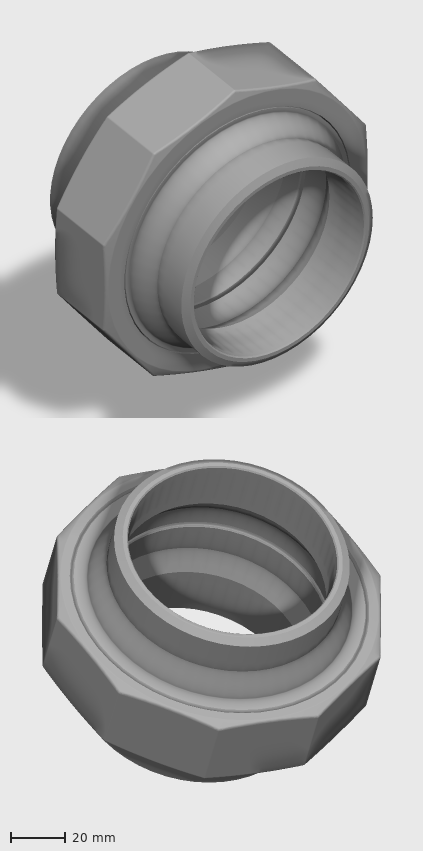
import cadquery as cq
import math


HALF_LENGTH = 42.0
PIPE_R = 88.9 / 2
BORE_R = 78.9 / 2
BEVEL_ANGLE = math.radians(30)
LAND_OUTER_R = 83.0 / 2
BORE_CHAMFER = 0.5

FLARE_ANGLE = math.radians(30)
CAVITY_R = 88.5 / 2
CAVITY_FLARE_X = 20.3
FLARE_END_R = 50.0
FLARE_ROOT_FILLET = 0.5

THREADED_FACE_X = -3.0
COLLAR_FACE_X = -1.0
CAVITY_CHAMFER = 0.5

THREAD_MAJOR_R = 113.03 / 2
THREAD_MINOR_R = 110.07 / 2
THREAD_R = (THREAD_MAJOR_R + THREAD_MINOR_R) / 2

NECK_R = 104.0 / 2
COLLAR_R = 109.0 / 2
LIP_BORE_R = 105.0 / 2
LIP_X = 8.0

NUT_SIDES = 10
NUT_FLATS = 122.0
NUT_HALF_WIDTH = 16.0
NUT_EDGE_FILLET = 1.0
NUT_FACE_R = 60.0
NUT_CHAMFER_ANGLE = math.radians(20)
NUT_RIM_FILLET = 1.0
NUT_CHAMFER_MARGIN = 5.0

SHOULDER_X = NUT_HALF_WIDTH
PIPE_END_X = HALF_LENGTH - (PIPE_R - LAND_OUTER_R) * math.tan(BEVEL_ANGLE)
FLARE_START_X = SHOULDER_X + (FLARE_END_R - PIPE_R) / math.tan(FLARE_ANGLE)
CAVITY_X = CAVITY_FLARE_X - (CAVITY_R - BORE_R) / math.tan(FLARE_ANGLE)
NUT_CORNER_R = NUT_FLATS / 2 / math.cos(math.pi / NUT_SIDES)


def revolve_about_x(points):
    """Revolve a closed outline of (x, radius) points about the X axis."""
    return cq.Workplane("XY").polyline(points).close().revolve(360, (0, 0, 0), (1, 0, 0))


def pipe_outside(side):
    """Outline from the bore mouth over the weld bevel and the outer flare to the shoulder."""
    return [
        (side * (HALF_LENGTH - BORE_CHAMFER), BORE_R),
        (side * HALF_LENGTH, BORE_R + BORE_CHAMFER),
        (side * HALF_LENGTH, LAND_OUTER_R),
        (side * PIPE_END_X, PIPE_R),
        (side * FLARE_START_X, PIPE_R),
        (side * SHOULDER_X, FLARE_END_R),
    ]


def pipe_inside(side, face_x):
    """Outline from the face inside the nut along the cavity to the narrow bore."""
    return [
        (face_x, CAVITY_R + CAVITY_CHAMFER),
        (face_x + side * CAVITY_CHAMFER, CAVITY_R),
        (side * CAVITY_X, CAVITY_R),
        (side * CAVITY_FLARE_X, BORE_R),
    ]


def fillet_circles(body, circle_r, fillet_r):
    """Fillet the circular edges of one radius."""
    circles = body.edges("%CIRCLE").filter(lambda edge: math.isclose(edge.radius(), circle_r))
    return circles.fillet(fillet_r)


def make_threaded_end():
    thread_chamfer = THREAD_R - THREAD_MINOR_R
    thread = [
        (-SHOULDER_X, THREAD_MINOR_R),
        (-SHOULDER_X + thread_chamfer, THREAD_R),
        (THREADED_FACE_X, THREAD_R),
    ]
    end = revolve_about_x(pipe_outside(-1) + thread + pipe_inside(-1, THREADED_FACE_X))
    return fillet_circles(end, FLARE_END_R, FLARE_ROOT_FILLET)


def make_collared_end():
    collar = [
        (SHOULDER_X, NECK_R),
        (LIP_X, NECK_R),
        (LIP_X, COLLAR_R),
        (COLLAR_FACE_X, COLLAR_R),
    ]
    end = revolve_about_x(pipe_outside(1) + collar + pipe_inside(1, COLLAR_FACE_X))
    return fillet_circles(end, FLARE_END_R, FLARE_ROOT_FILLET)


def make_nut_blank():
    """Ten-sided prism with rounded edges and chamfered rims, flats facing +-Y and corners at +-Z."""
    width = 2 * NUT_HALF_WIDTH
    prism = (
        cq.Workplane("YZ")
        .polygon(NUT_SIDES, 2 * NUT_CORNER_R)
        .extrude(width)
        .rotate((0, 0, 0), (1, 0, 0), 90)
        .translate((-NUT_HALF_WIDTH, 0, 0))
        .edges("|X")
        .fillet(NUT_EDGE_FILLET)
    )
    limit_r = NUT_FLATS / 2 + NUT_CHAMFER_MARGIN
    limit_x = NUT_HALF_WIDTH - (limit_r - NUT_FACE_R) * math.tan(NUT_CHAMFER_ANGLE)
    turned = revolve_about_x([
        (-NUT_HALF_WIDTH, 0),
        (-NUT_HALF_WIDTH, NUT_FACE_R),
        (-limit_x, limit_r),
        (limit_x, limit_r),
        (NUT_HALF_WIDTH, NUT_FACE_R),
        (NUT_HALF_WIDTH, 0),
    ])
    return prism.intersect(turned)


def make_nut():
    """Nut with a bore over the thread and collar, and a lip on the +X side behind the collar."""
    bore_chamfer = THREAD_MAJOR_R - THREAD_R
    bore = revolve_about_x([
        (-NUT_HALF_WIDTH, 0),
        (-NUT_HALF_WIDTH, THREAD_MAJOR_R),
        (-NUT_HALF_WIDTH + bore_chamfer, THREAD_R),
        (LIP_X, THREAD_R),
        (LIP_X, LIP_BORE_R),
        (NUT_HALF_WIDTH, LIP_BORE_R),
        (NUT_HALF_WIDTH, 0),
    ])
    blank = make_nut_blank().faces("%CONE").edges().fillet(NUT_RIM_FILLET)
    return blank.cut(bore)


threaded_end = make_threaded_end()
collared_end = make_collared_end()
nut = make_nut()

result = cq.Compound.makeCompound([threaded_end.val(), collared_end.val(), nut.val()])